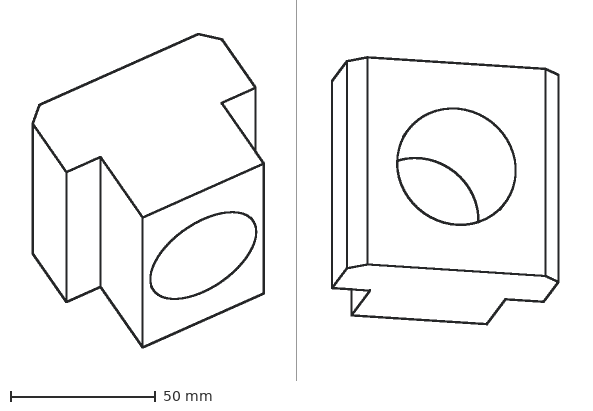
import cadquery as cq

length = 60.0
width = 75.0
height = 75.0

head_length = length / 2
stem_width = 48.0
chamfer = 6.0

bore_diameter = 42.0


def make_head():
    """Wide block at the -X end, with its two upright front edges chamfered."""
    block = cq.Workplane("XY").box(head_length, width, height, centered=(False, True, True))
    return block.faces("<X").edges("|Z").chamfer(chamfer)


def make_stem():
    """Narrower block running the full length on the centre plane."""
    return cq.Workplane("XY").box(length, stem_width, height, centered=(False, True, True))


def make_bore():
    """Round through hole along X, in the middle of the block."""
    return cq.Workplane("YZ").circle(bore_diameter / 2).extrude(length)


result = make_head().union(make_stem()).cut(make_bore())